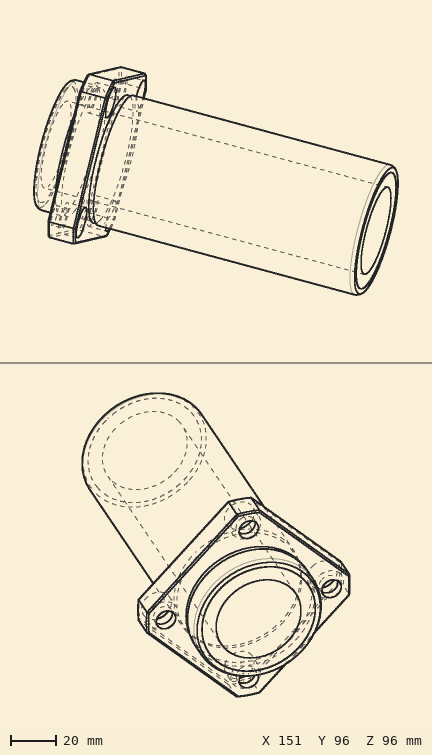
import cadquery as cq
import math

length = 151.0
body_radius = 60.0 / 2
bore_radius = 40.0 / 2
end_round_length = 2.0
end_round_drop = 0.9
seal_radius = 53.5 / 2
seal_recess = 0.2

flange_start = 13.1
flange_thickness = 12.8
flange_end = flange_start + flange_thickness
flange_diameter = 96.0
square_side = 75.0
flange_chamfer = 0.8

front_groove_start = 10.4
back_groove_end = 28.4
groove_width = 3.3
groove_depth = 0.6

hole_count = 4
hole_pitch_radius = 78.0 / 2
hole_diameter = 9.0
counterbore_diameter = 14.0
counterbore_depth = 8.6


def arc_middle(width, drop):
    """Half-way point of an arc that leaves a line tangentially: (distance along, distance off)."""
    radius = (width**2 + drop**2) / (2 * drop)
    half_angle = math.asin(width / radius) / 2
    return radius * math.sin(half_angle), radius * (1 - math.cos(half_angle))


def make_sleeve():
    """Revolve the rounded and grooved outline, leaving the bore open."""
    end_radius = body_radius - end_round_drop
    along, off = arc_middle(end_round_length, end_round_drop)
    round_radius = body_radius - off
    groove_radius = body_radius - groove_depth
    outline = (
        cq.Workplane("XY")
        .moveTo(0, bore_radius)
        .lineTo(0, end_radius)
        .threePointArc((end_round_length - along, round_radius), (end_round_length, body_radius))
    )
    for groove_start in (front_groove_start, back_groove_end - groove_width):
        outline = outline.lineTo(groove_start, body_radius).threePointArc(
            (groove_start + groove_width / 2, groove_radius),
            (groove_start + groove_width, body_radius),
        )
    outline = (
        outline.lineTo(length - end_round_length, body_radius)
        .threePointArc((length - end_round_length + along, round_radius), (length, end_radius))
        .lineTo(length, bore_radius)
        .close()
    )
    return outline.revolve(360, (0, 0, 0), (1, 0, 0))


def make_flange():
    """Chamfered flange plate with the bore cut through it."""
    start_plane = cq.Workplane("YZ", origin=(flange_start, 0, 0))
    square = (
        start_plane.transformed(rotate=(0, 0, 45))
        .rect(square_side, square_side)
        .extrude(flange_thickness)
    )
    disc = start_plane.circle(flange_diameter / 2).extrude(flange_thickness)
    plate = square.intersect(disc).faces("<X or >X").edges().chamfer(flange_chamfer)
    return plate.cut(start_plane.circle(bore_radius).extrude(flange_thickness))


def cut_screw_holes(part):
    """Drill and counterbore the holes at the four corners of the flange."""
    return (
        part.copyWorkplane(cq.Workplane("YZ", origin=(flange_end, 0, 0)))
        .polarArray(hole_pitch_radius, 0, 360, hole_count)
        .cboreHole(hole_diameter, counterbore_diameter, counterbore_depth, flange_thickness)
    )


def cut_seal_recesses(part):
    """Sink the seal face slightly into each end of the sleeve."""
    for recess_start in (0, length - seal_recess):
        recess = cq.Workplane("YZ", origin=(recess_start, 0, 0)).circle(seal_radius).extrude(seal_recess)
        part = part.cut(recess)
    return part


result = make_sleeve().union(make_flange())
result = cut_screw_holes(result)
result = cut_seal_recesses(result)